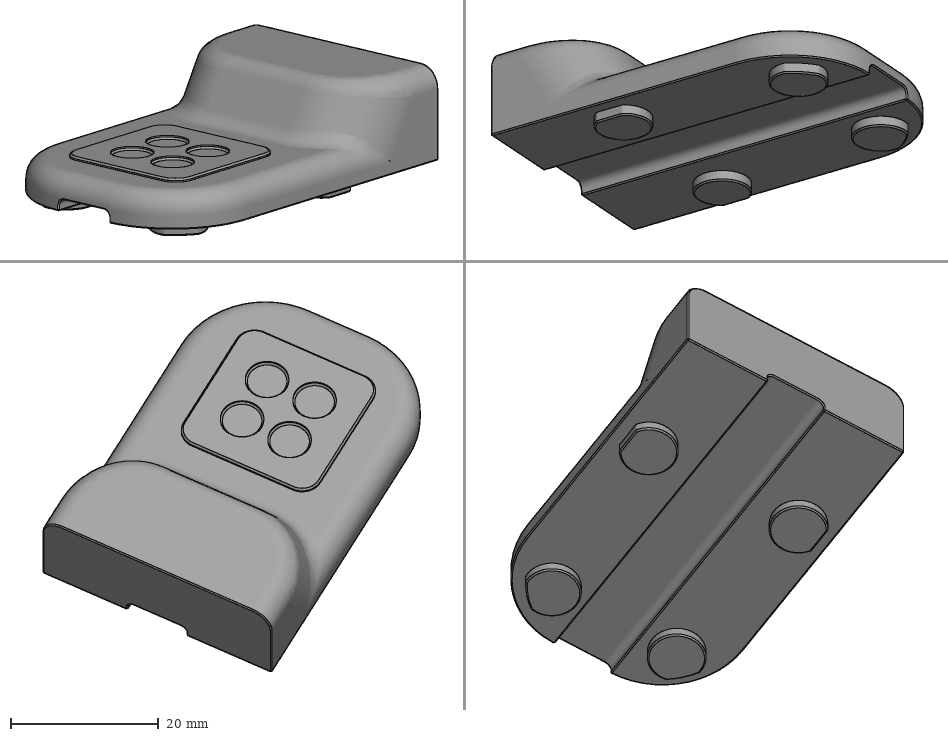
import cadquery as cq
import math

WIDTH = 35.0
LENGTH = 53.0
BODY_HEIGHT = 13.1
PLATE_THICKNESS = 5.0
PLATE_CORNER_RADIUS = 13.0
EDGE_RADIUS = 3.0
EDGE_CHAMFER = 0.185

SLOPE_ANGLE = 60.0
SLOPE_FOOT_Y = -19.8
BLOCK_CORNER_RADIUS = 10.0

PAD_SIZE = 20.9
PAD_CORNER_RADIUS = 2.75
PAD_HEIGHT = 0.5
PAD_CHAMFER = 0.25
PAD_CENTER_Y = -35.25
RECESS_DIAMETER = 5.9
RECESS_PITCH = 7.25

CHANNEL_WIDTH = 9.0
CHANNEL_HEIGHT = 1.75
CHANNEL_RADIUS = 1.0

FOOT_RADIUS = 4.0
FOOT_HEIGHT = 1.5
FOOT_CHAMFER = 0.2
FOOT_CORNER_RADIUS = 0.5
FOOT_EDGE_MARGIN = 2.0
LEFT_FOOT_CENTERS = [(-12.1, -17.95), (-10.05, -45.05)]

PICK_MARGIN = 0.05


def make_rounded_slab(inset, height):
    """Slab in the plan shape of the body, drawn in by an inset on every side."""
    return (
        cq.Workplane("XY", origin=(0, -LENGTH / 2, 0))
        .rect(WIDTH - 2 * inset, LENGTH - 2 * inset)
        .extrude(height)
        .edges("|Z and <Y")
        .fillet(PLATE_CORNER_RADIUS - inset)
    )


def round_top_edges(solid):
    """Round the whole top outline except along the back face."""
    return solid.faces(">Z").edges("not >Y").fillet(EDGE_RADIUS)


def make_block():
    """Block with a sloping front whose round corners follow the slope."""
    run_per_height = 1 / math.tan(math.radians(SLOPE_ANGLE))
    bottom_y = SLOPE_FOOT_Y - PLATE_THICKNESS * run_per_height
    top_y = bottom_y + BODY_HEIGHT * run_per_height
    slope_direction = cq.Vector(0, run_per_height, 1)
    block = (
        cq.Workplane("YZ")
        .polyline([(0, 0), (bottom_y, 0), (top_y, BODY_HEIGHT), (0, BODY_HEIGHT)])
        .close()
        .extrude(WIDTH / 2, both=True)
        .edges(cq.selectors.ParallelDirSelector(slope_direction))
        .fillet(BLOCK_CORNER_RADIUS)
    )
    return round_top_edges(block)


def make_body():
    """Plate and block joined, with the concave seam between them rounded."""
    plate = round_top_edges(make_rounded_slab(0, PLATE_THICKNESS))
    seam_zone = cq.selectors.BoxSelector(
        (-WIDTH / 2, SLOPE_FOOT_Y - PICK_MARGIN, PLATE_THICKNESS - EDGE_RADIUS + PICK_MARGIN),
        (WIDTH / 2, -BLOCK_CORNER_RADIUS, PLATE_THICKNESS + PICK_MARGIN),
    )
    return plate.union(make_block()).edges(seam_zone).fillet(EDGE_RADIUS)


def make_channel():
    """Cutter for the channel that runs the full length of the underside."""
    return (
        cq.Workplane("XY", origin=(0, -LENGTH / 2, 0))
        .rect(CHANNEL_WIDTH, LENGTH)
        .extrude(CHANNEL_HEIGHT)
        .edges("|Y and >Z")
        .fillet(CHANNEL_RADIUS)
    )


def break_sharp_edges(body):
    """Chamfer the back face, the underside and the front mouth of the channel."""
    mouth_zone = cq.selectors.BoxSelector(
        (-CHANNEL_WIDTH / 2 - PICK_MARGIN, -LENGTH - PICK_MARGIN, 0),
        (CHANNEL_WIDTH / 2 + PICK_MARGIN, -LENGTH + PICK_MARGIN, CHANNEL_HEIGHT + PICK_MARGIN),
    )
    mouth_edges = body.edges(mouth_zone)
    return body.faces("<Z or >Y").edges().add(mouth_edges).chamfer(EDGE_CHAMFER)


def make_pad():
    """Pad with a chamfered rim, standing on the plate."""
    return (
        cq.Workplane("XY", origin=(0, PAD_CENTER_Y, PLATE_THICKNESS))
        .rect(PAD_SIZE, PAD_SIZE)
        .extrude(PAD_HEIGHT)
        .edges("|Z")
        .fillet(PAD_CORNER_RADIUS)
        .faces(">Z")
        .chamfer(PAD_CHAMFER)
    )


def make_recesses():
    """Cutters for the recesses, as deep as the pad, with a chamfered floor."""
    return (
        cq.Workplane("XY", origin=(0, PAD_CENTER_Y, PLATE_THICKNESS + PAD_HEIGHT))
        .rarray(RECESS_PITCH, RECESS_PITCH, 2, 2)
        .circle(RECESS_DIAMETER / 2)
        .extrude(-PAD_HEIGHT)
        .faces("<Z")
        .chamfer(PAD_CHAMFER)
    )


def make_left_foot(x, y):
    """Round foot below the underside, its outboard side trimmed along the body outline."""
    trim_shape = make_rounded_slab(FOOT_EDGE_MARGIN, -FOOT_HEIGHT)
    foot = cq.Workplane("XY").center(x, y).circle(FOOT_RADIUS).extrude(-FOOT_HEIGHT)
    return (
        foot.intersect(trim_shape)
        .edges("|Z")
        .fillet(FOOT_CORNER_RADIUS)
        .faces("<Z")
        .chamfer(FOOT_CHAMFER)
    )


result = break_sharp_edges(make_body().cut(make_channel()))
result = result.union(make_pad()).cut(make_recesses())
for x, y in LEFT_FOOT_CENTERS:
    left_foot = make_left_foot(x, y)
    result = result.union(left_foot).union(left_foot.mirror("YZ"))